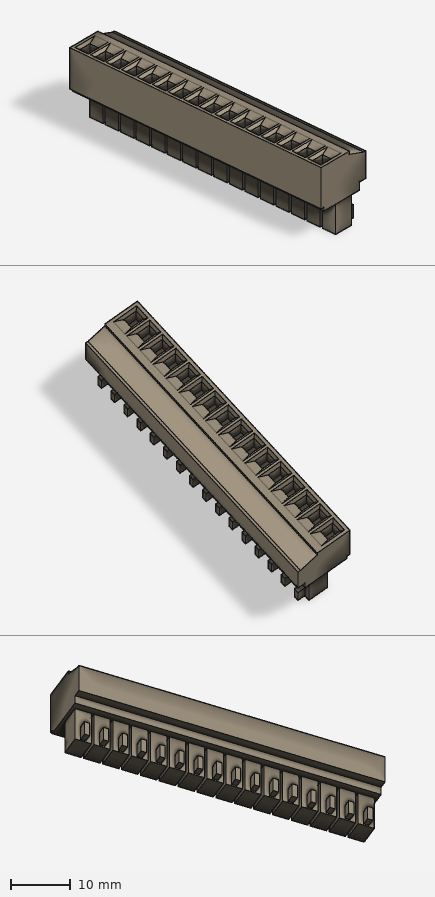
import cadquery as cq


length = 56.8
depth = 11.2
height = 15.5
housing_base = 6.6
front_step_depth = 0.7
front_step_top = 7.3
back_step_depth = 1.55
back_step_top = 8.2
back_wall_top = 13.65
back_ledge_depth = 0.5
shoulder_bottom = 14.9
shoulder_y = 7.05

contact_count = 16
contact_width = 3.0
end_margin = 0.6
pitch = (length - 2 * end_margin - contact_width) / (contact_count - 1)

pin_front = 4.3
pin_back = 8.35
lug_width = 0.95
lug_reach = 1.55
lug_bottom = 0.3
lug_height = 2.65
lug_overlap = 0.3

entry_front = 0.7
entry_back = 5.6
funnel_depth = 0.5
funnel_inset = 0.5
well_front = entry_front + funnel_inset
well_back = 3.8
well_width = contact_width - 2 * funnel_inset
well_depth = 2.85


def centred_box(x, width, front, back, bottom, top):
    """Box centred on x, given by its limits along Y and Z."""
    return (
        cq.Workplane("XY", origin=(x, (front + back) / 2, bottom))
        .rect(width, back - front)
        .extrude(top - bottom)
    )


def make_housing():
    """Side profile swept along the whole row."""
    profile = [
        (front_step_depth, housing_base),
        (depth - back_step_depth, housing_base),
        (depth - back_step_depth, back_step_top),
        (depth, back_step_top),
        (depth, back_wall_top),
        (depth - back_ledge_depth, back_wall_top),
        (shoulder_y, shoulder_bottom),
        (shoulder_y, height),
        (0, height),
        (0, front_step_top),
        (front_step_depth, front_step_top),
    ]
    return (
        cq.Workplane("YZ", origin=(-length / 2, 0, 0))
        .polyline(profile)
        .close()
        .extrude(length)
    )


def make_pin(x):
    """Rectangular pin with its narrow lug."""
    pin = centred_box(x, contact_width, pin_front, pin_back, 0, housing_base)
    lug = centred_box(
        x, lug_width, pin_back - lug_overlap, pin_back + lug_reach, lug_bottom, lug_bottom + lug_height
    )
    return pin.union(lug)


def make_wire_entry(x):
    """Volume removed from the top face for one wire."""
    funnel_bottom = height - funnel_depth
    mouth_y = (entry_front + entry_back) / 2
    well_y = (well_front + well_back) / 2
    funnel = (
        cq.Workplane("XY", origin=(x, mouth_y, height))
        .rect(contact_width, entry_back - entry_front)
        .workplane(offset=-funnel_depth)
        .center(0, well_y - mouth_y)
        .rect(well_width, well_back - well_front)
        .loft(ruled=True)
    )
    well = centred_box(x, well_width, well_front, well_back, funnel_bottom - well_depth, funnel_bottom)
    return funnel.union(well)


result = make_housing()
for index in range(contact_count):
    contact_x = (index - (contact_count - 1) / 2) * pitch
    result = result.union(make_pin(contact_x)).cut(make_wire_entry(contact_x))